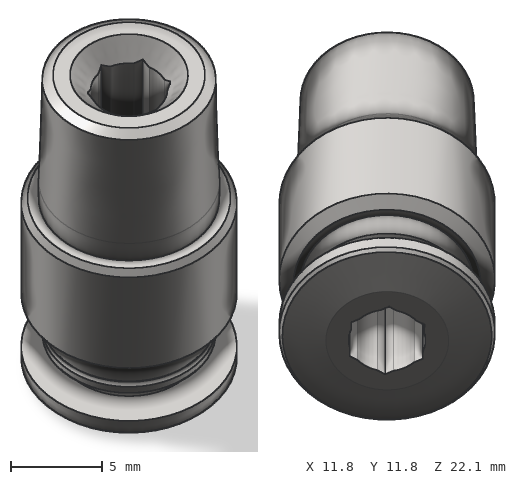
import cadquery as cq
import math

total_height = 22.1
flange_rim_bottom = 0.42
flange_side_bottom = 0.65
flange_top = 1.5
neck_flare_top = 1.9
collar_bottom = 2.39
groove_bottom = 2.98
groove_root = 3.15
groove_top = 3.4
body_bottom = 5.08
body_top = 12.77
taper_bottom = 14.1

body_diameter = 11.8
flange_underside_diameter = 6.72
flange_rim_diameter = 11.45
neck_diameter = 7.4
neck_flare_diameter = 7.91
collar_diameter = 9.5
groove_diameter = 9.1
body_bottom_diameter = 10.25
spigot_diameter = 9.9
spigot_end_diameter = 9.5
spigot_face_diameter = 8.3

collar_chamfer = 0.13
body_bottom_chamfer_height = 0.45
body_top_chamfer = 0.35
spigot_chamfer_height = 0.33

hex_across_flats = 4.0
relief_bore_diameter = 4.2
countersink_diameter = 6.45
countersink_depth = countersink_diameter / 2


def turned_body():
    """Revolve the outside profile around the Z axis."""
    diameter_heights = [
        (0, 0),
        (flange_underside_diameter, 0),
        (flange_rim_diameter, flange_rim_bottom),
        (body_diameter, flange_side_bottom),
        (body_diameter, flange_top),
        (neck_flare_diameter, flange_top),
        (neck_diameter, neck_flare_top),
        (neck_diameter, collar_bottom),
        (collar_diameter - 2 * collar_chamfer, collar_bottom),
        (collar_diameter, collar_bottom + collar_chamfer),
        (collar_diameter, groove_bottom),
        (groove_diameter, groove_root),
        (collar_diameter, groove_top),
        (collar_diameter, body_bottom),
        (body_bottom_diameter, body_bottom),
        (body_diameter, body_bottom + body_bottom_chamfer_height),
        (body_diameter, body_top - body_top_chamfer),
        (body_diameter - 2 * body_top_chamfer, body_top),
        (spigot_diameter, body_top),
        (spigot_diameter, taper_bottom),
        (spigot_end_diameter, total_height - spigot_chamfer_height),
        (spigot_face_diameter, total_height),
        (0, total_height),
    ]
    profile = [(diameter / 2, height) for diameter, height in diameter_heights]
    return cq.Workplane("XZ").polyline(profile).close().revolve(360, (0, 0), (0, 1))


def through_passage():
    """Hexagon with corners on the Y axis, joined with its round relief bore."""
    hex_across_corners = hex_across_flats / math.cos(math.radians(30))
    hexagon = cq.Workplane("XY").polygon(6, hex_across_corners).extrude(total_height)
    hexagon = hexagon.rotate((0, 0, 0), (0, 0, 1), 30)
    relief_bore = cq.Workplane("XY").circle(relief_bore_diameter / 2).extrude(total_height)
    return hexagon.union(relief_bore)


def socket_countersink():
    """Conical lead-in at the top of the hexagon socket."""
    cone = cq.Solid.makeCone(
        countersink_diameter / 2,
        0,
        countersink_depth,
        pnt=cq.Vector(0, 0, total_height),
        dir=cq.Vector(0, 0, -1),
    )
    return cq.Workplane("XY").add(cone)


result = turned_body().cut(through_passage()).cut(socket_countersink())